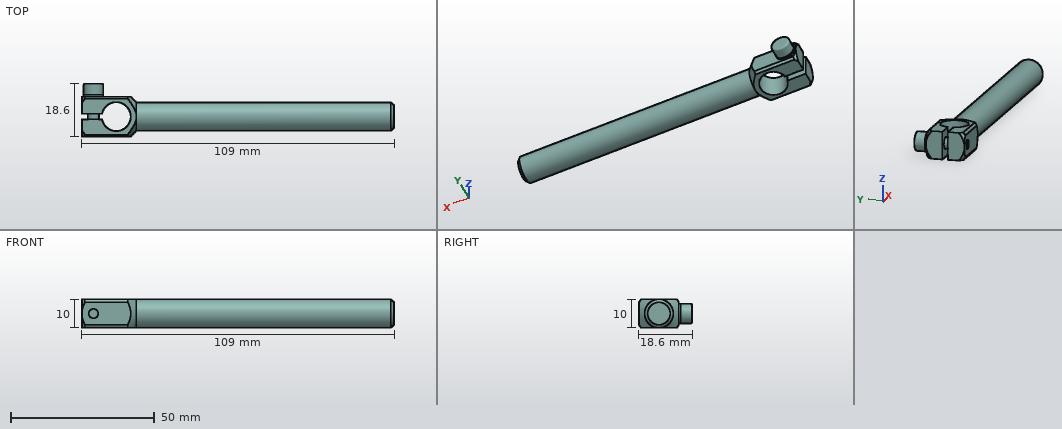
import cadquery as cq

TOTAL_LENGTH = 109.0
ROD_DIAMETER = 10.0
ROD_END_CHAMFER = 1.1
HEAD_BAR_DIAMETER = 16.0
HEAD_WIDTH = 14.0
HEAD_THICKNESS = ROD_DIAMETER
HEAD_CONE_START = 16.0
HEAD_END_CHAMFER = (HEAD_BAR_DIAMETER - HEAD_WIDTH) / 2

BORE_DIAMETER = 10.0
BORE_X = 12.0
SLOT_WIDTH = 2.0

SCREW_X = 4.0
SHANK_DIAMETER = 4.0
CLEARANCE_DIAMETER = 4.3
TAP_DIAMETER = 3.3
SCREW_RECESS = 0.5
SCREW_HEAD_DIAMETER = 7.0
SCREW_HEAD_HEIGHT = 3.9
SCREW_HEAD_FILLET = 0.5

WASHER_DIAMETER = SCREW_HEAD_DIAMETER
WASHER_THICKNESS = 0.7

HALF_WIDTH = HEAD_WIDTH / 2
SCREW_TIP_Y = SCREW_RECESS - HALF_WIDTH
SCREW_SEAT_Y = HALF_WIDTH + WASHER_THICKNESS


def cylinder_along_y(diameter, y_start, y_end):
    """Solid cylinder on the screw axis between two Y positions."""
    start = cq.Vector(SCREW_X, y_start, 0)
    solid = cq.Solid.makeCylinder(diameter / 2, y_end - y_start, start, cq.Vector(0, 1, 0))
    return cq.Workplane(obj=solid)


def turned_bar():
    """Revolved blank: chamfered head, 45 degree cone and chamfered rod."""
    head_radius = HEAD_BAR_DIAMETER / 2
    rod_radius = ROD_DIAMETER / 2
    cone_end = HEAD_CONE_START + head_radius - rod_radius
    profile = [
        (0, 0),
        (0, head_radius - HEAD_END_CHAMFER),
        (HEAD_END_CHAMFER, head_radius),
        (HEAD_CONE_START, head_radius),
        (cone_end, rod_radius),
        (TOTAL_LENGTH - ROD_END_CHAMFER, rod_radius),
        (TOTAL_LENGTH, rod_radius - ROD_END_CHAMFER),
        (TOTAL_LENGTH, 0),
    ]
    return cq.Workplane("XY").polyline(profile).close().revolve(360, (0, 0, 0), (1, 0, 0))


def make_clamp_rod():
    """Turned bar with flats, clamping bore, slot and stepped screw hole."""
    flats = cq.Workplane("XY").box(TOTAL_LENGTH, HEAD_WIDTH, HEAD_THICKNESS, centered=(False, True, True))
    bore = (
        cq.Workplane("XY")
        .center(BORE_X, 0)
        .circle(BORE_DIAMETER / 2)
        .extrude(HEAD_THICKNESS / 2, both=True)
    )
    slot = cq.Workplane("XY").box(BORE_X, SLOT_WIDTH, HEAD_THICKNESS, centered=(False, True, True))
    clearance_hole = cylinder_along_y(CLEARANCE_DIAMETER, 0, HALF_WIDTH)
    thread_hole = cylinder_along_y(SHANK_DIAMETER, SCREW_TIP_Y, 0)
    tap_hole = cylinder_along_y(TAP_DIAMETER, -HALF_WIDTH, SCREW_TIP_Y)
    body = turned_bar().intersect(flats)
    for cut in (bore, slot, clearance_hole, thread_hole, tap_hole):
        body = body.cut(cut)
    return body


def make_washer():
    """Flat ring between the clamp and the screw head."""
    disc = cylinder_along_y(WASHER_DIAMETER, HALF_WIDTH, SCREW_SEAT_Y)
    hole = cylinder_along_y(CLEARANCE_DIAMETER, HALF_WIDTH, SCREW_SEAT_Y)
    return disc.cut(hole)


def make_screw():
    """Cylindrical screw head with a rounded rim on a plain shank."""
    head = cylinder_along_y(SCREW_HEAD_DIAMETER, SCREW_SEAT_Y, SCREW_SEAT_Y + SCREW_HEAD_HEIGHT)
    head = head.faces(">Y").edges().fillet(SCREW_HEAD_FILLET)
    shank = cylinder_along_y(SHANK_DIAMETER, SCREW_TIP_Y, SCREW_SEAT_Y)
    return head.union(shank)


clamp_rod = make_clamp_rod()
washer = make_washer()
screw = make_screw()

result = cq.Compound.makeCompound([*clamp_rod.solids().vals(), *washer.solids().vals(), *screw.solids().vals()])